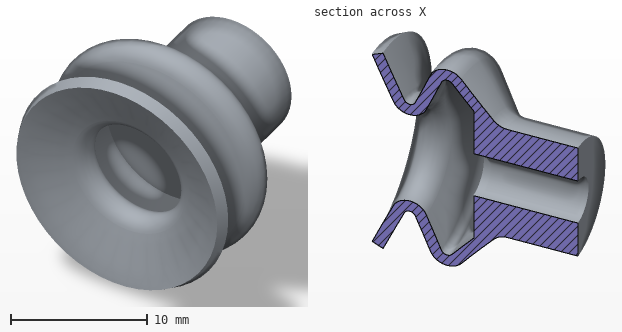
import cadquery as cq
import math

length = 16.5
outer_radius = 9.0
stem_radius = 4.99
bore_radius = 1.9
wall = 0.99

lip_height = 0.9
lip_face_radius = 8.6

neck_height = 3.02
neck_radius = 4.93
neck_round = 0.47

fold_height = 6.03
fold_round = 1.48

stem_start = 10.85
stem_blend = 1.51
blend_mid_angle = math.radians(200)

floor_height = 8.14

neck_center = (neck_radius + neck_round, neck_height)
fold_center = (outer_radius - fold_round, fold_height)
blend_center = (stem_radius + stem_blend, stem_start)

throat_round = neck_round + wall
inner_fold_round = fold_round - wall
inner_blend = stem_blend + wall


def polar(center, radius, angle):
    return (center[0] + radius * math.cos(angle), center[1] + radius * math.sin(angle))


def tangent_points(start, start_radius, end, end_radius):
    """Touch points of the line tangent to two circles.

    A positive radius puts the circle left of the line's direction of travel,
    a negative radius puts it right, and zero makes the circle a point.
    """
    dx = end[0] - start[0]
    dy = end[1] - start[1]
    tilt = math.asin((start_radius - end_radius) / math.hypot(dx, dy))
    normal = math.atan2(dy, dx) + tilt - math.pi / 2
    return polar(start, start_radius, normal), polar(end, end_radius, normal)


lip_edge = (outer_radius, lip_height)
_, neck_front = tangent_points(lip_edge, 0, neck_center, -neck_round)
neck_back, fold_front = tangent_points(neck_center, -neck_round, fold_center, fold_round)
fold_back, blend_front = tangent_points(fold_center, fold_round, blend_center, -stem_blend)

lip_face_edge = (lip_face_radius, 0)
_, throat_front = tangent_points(lip_face_edge, 0, neck_center, -throat_round)
throat_back, inner_fold_front = tangent_points(neck_center, -throat_round, fold_center, inner_fold_round)
inner_fold_back, inner_blend_front = tangent_points(
    fold_center, inner_fold_round, blend_center, -inner_blend
)

cone_run = (floor_height - inner_fold_back[1]) / (inner_blend_front[1] - inner_fold_back[1])
floor_radius = inner_fold_back[0] + cone_run * (inner_blend_front[0] - inner_fold_back[0])

profile = (
    cq.Workplane("XY")
    .moveTo(*lip_face_edge)
    .lineTo(*lip_edge)
    .lineTo(*neck_front)
    .threePointArc((neck_radius, neck_height), neck_back)
    .lineTo(*fold_front)
    .threePointArc((outer_radius, fold_height), fold_back)
    .lineTo(*blend_front)
    .threePointArc(polar(blend_center, stem_blend, blend_mid_angle), (stem_radius, stem_start))
    .lineTo(stem_radius, length)
    .lineTo(bore_radius, length)
    .lineTo(bore_radius, floor_height)
    .lineTo(floor_radius, floor_height)
    .lineTo(*inner_fold_back)
    .threePointArc(polar(fold_center, inner_fold_round, 0), inner_fold_front)
    .lineTo(*throat_back)
    .threePointArc(polar(neck_center, throat_round, math.pi), throat_front)
    .close()
)

result = profile.revolve(360, (0, 0, 0), (0, 1, 0))